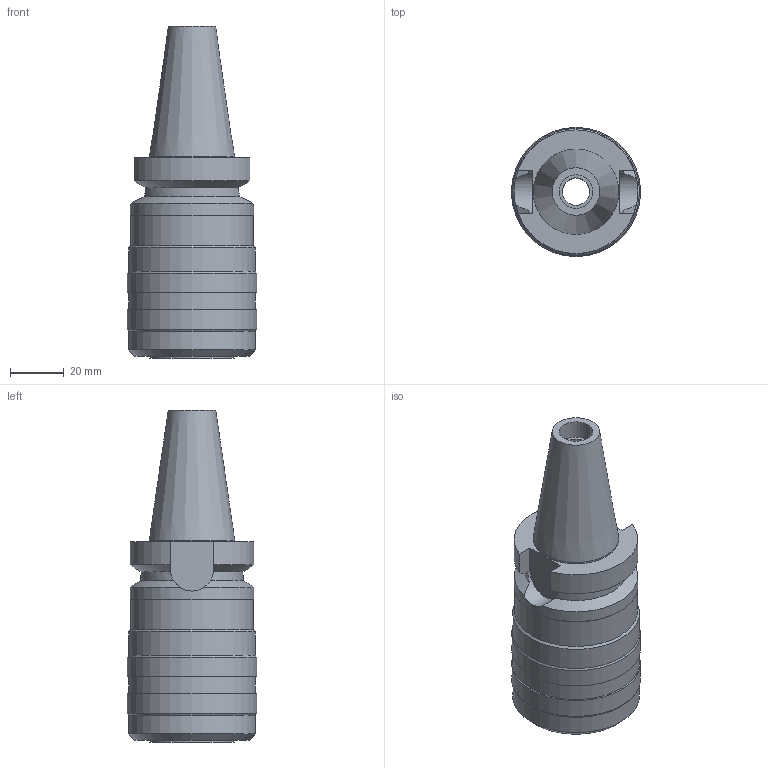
import cadquery as cq


gauge_radius = 31.75 / 2
taper_length = 48.4
taper_ratio = 7 / 24
taper_top_radius = gauge_radius - taper_length * taper_ratio / 2

flange_radius = 46.0 / 2
flange_top_z = -0.6
groove_root_radius = 38.0 / 2
groove_upper_edge_z = -9.2
groove_root_top_z = -11.7
groove_root_bottom_z = -15.1
groove_lower_edge_z = -17.4
flange_bottom_z = -22.0

body_radius = 45.6 / 2
nut_radius = 47.2 / 2
band_radius = 48.0 / 2
nut_top_chamfer = nut_radius - body_radius
nut_top_z = -33.3
upper_band_top_z = -43.5
upper_band_bottom_z = -50.5
lower_band_top_z = -57.1
lower_band_bottom_z = -64.3
band_long_bevel = 0.7
band_short_bevel = 0.2

nose_z = -75.0
nut_bottom_z = -74.4
nut_end_radius = 42.4 / 2
nut_end_chamfer_height = 2.4
nose_radius = 31.3 / 2

slot_width = 16.1
slot_floor_x = 16.15
slot_bottom_z = -18.9

bore_radius = 10.2 / 2
counterbore_radius = 12.45 / 2
counterbore_depth = 7.0


def make_body():
    """Solid of revolution for the shank, flange, body and nut."""
    outline = [
        (0, taper_length),
        (taper_top_radius, taper_length),
        (gauge_radius, 0),
        (gauge_radius, flange_top_z),
        (flange_radius, flange_top_z),
        (flange_radius, groove_upper_edge_z),
        (groove_root_radius, groove_root_top_z),
        (groove_root_radius, groove_root_bottom_z),
        (flange_radius, groove_lower_edge_z),
        (flange_radius, flange_bottom_z),
        (body_radius, flange_bottom_z),
        (body_radius, nut_top_z),
        (nut_radius, nut_top_z - nut_top_chamfer),
        (nut_radius, upper_band_top_z + band_long_bevel),
        (band_radius, upper_band_top_z),
        (band_radius, upper_band_bottom_z),
        (nut_radius, upper_band_bottom_z - band_short_bevel),
        (nut_radius, lower_band_top_z + band_short_bevel),
        (band_radius, lower_band_top_z),
        (band_radius, lower_band_bottom_z),
        (nut_radius, lower_band_bottom_z - band_long_bevel),
        (nut_radius, nut_bottom_z + nut_end_chamfer_height),
        (nut_end_radius, nut_bottom_z),
        (nose_radius, nut_bottom_z),
        (nose_radius, nose_z),
        (0, nose_z),
    ]
    return cq.Workplane("YZ").polyline(outline).close().revolve(360, (0, 0, 0), (0, 1, 0))


def make_drive_slot(side):
    """Round-bottomed slot cutter, open to the top and outside, on the +X (1) or -X (-1) side."""
    half_width = slot_width / 2
    arc_centre_z = slot_bottom_z + half_width
    return (
        cq.Workplane("YZ", origin=(side * slot_floor_x, 0, 0))
        .moveTo(-half_width, flange_top_z)
        .lineTo(-half_width, arc_centre_z)
        .threePointArc((0, slot_bottom_z), (half_width, arc_centre_z))
        .lineTo(half_width, flange_top_z)
        .close()
        .extrude(side * band_radius)
    )


def make_bore():
    """Through bore with a counterbore at the small end of the taper."""
    through = cq.Workplane("XY", origin=(0, 0, nose_z)).circle(bore_radius).extrude(taper_length - nose_z)
    counterbore = (
        cq.Workplane("XY", origin=(0, 0, taper_length))
        .circle(counterbore_radius)
        .extrude(-counterbore_depth)
    )
    return through.union(counterbore)


result = make_body().cut(make_bore())
for slot_side in (-1, 1):
    result = result.cut(make_drive_slot(slot_side))